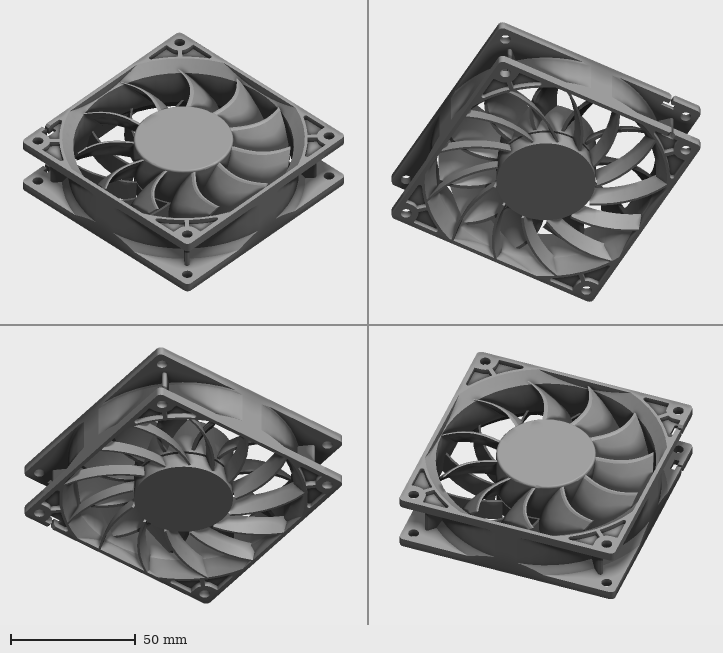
import cadquery as cq
import math

side = 92.0
height = 25.2
half = side / 2
frame_corner_radius = 2.0

flange_thickness = 3.9
bore_radius = 44.2
mouth_radius = 48.6
mouth_depth = 3.9
outlet_radius = mouth_radius
outlet_depth = 6.1
mouth_half_width = 44.3
patch_half_width = 4.8
duct_radius = math.hypot(half, patch_half_width)
lower_cone_radius = 48.8
lower_cone_top = 7.0
upper_cone_radius = 46.7
upper_cone_height = 0.7

hole_position = 41.2
hole_diameter = 4.3
corner_rib_radius = 1.0
corner_rib_end = 36.9
pocket_depth = 2.3
pocket_wall = 44.0
pocket_inner_radius = 49.7
pocket_hole_radius = 4.9
pocket_web_half_width = 0.8
pocket_tip_fillet = 0.9

slot_inner_x = -41.95
slot_low_y = -35.1
slot_high_y = -29.6
slit_y = -32.5
slit_half_width = 0.55
slit_chamfer = 0.9
clearance_x = -37.9
clearance_y = -27.4

hub_radius = 20.0
hub_bottom = 7.9
hub_fillet = 0.9
blade_count = 11
blade_tip_radius = 43.1
blade_top = height - hub_fillet
blade_bottom = 8.9
blade_thickness = 1.6
blade_land = 0.7
blade_bevel_depth = 0.5
blade_camber = -0.9
blade_sections = [
    (16.6, -3.3, 5.5),
    (20.2, -2.85, 7.2),
    (25.8, -2.6, 8.6),
    (31.3, -3.3, 8.7),
    (36.8, -5.9, 7.7),
    (44.2, -12.9, 3.7),
]

base_radius = 19.8
vane_count = 13
vane_height = 7.0
vane_thickness = 1.0
vane_lean = 2.5
vane_outer_angle = -9.5
vane_swing = 28.0
vane_bow = 3.3
vane_overlap = 0.5


def turned(body, angle):
    return body.rotate((0, 0, 0), (0, 0, 1), angle)


def disc(radius, bottom, top):
    return cq.Workplane("XY", origin=(0, 0, bottom)).circle(radius).extrude(top - bottom)


def full_turn(profile):
    return profile.revolve(360, (0, 0, 0), (0, 1, 0))


def square_plate(bottom, thickness):
    return (
        cq.Workplane("XY", origin=(0, 0, bottom))
        .rect(side, side)
        .extrude(thickness)
        .edges("|Z")
        .fillet(frame_corner_radius)
    )


def duct_outside():
    under_top_flange = height - flange_thickness
    profile = (
        cq.Workplane("XZ")
        .moveTo(0, flange_thickness)
        .lineTo(lower_cone_radius, flange_thickness)
        .lineTo(duct_radius, lower_cone_top)
        .lineTo(duct_radius, under_top_flange - upper_cone_height)
        .lineTo(upper_cone_radius, under_top_flange)
        .lineTo(0, under_top_flange)
        .close()
    )
    return full_turn(profile).intersect(square_plate(0, height))


def duct_bore():
    profile = (
        cq.Workplane("XZ")
        .lineTo(outlet_radius, 0)
        .lineTo(bore_radius, outlet_depth)
        .lineTo(bore_radius, height - mouth_depth)
        .lineTo(mouth_radius, height)
        .lineTo(0, height)
        .close()
    )
    trim = cq.Workplane("XY").rect(2 * mouth_half_width, 2 * mouth_half_width).extrude(height)
    return full_turn(profile).intersect(trim)


def corner_rib(angle):
    length = math.hypot(corner_rib_end, corner_rib_end)
    width = 2 * corner_rib_radius
    rib_height = height - 2 * flange_thickness
    web = cq.Workplane("XY").rect(length, width).extrude(rib_height).translate((length / 2, 0, 0))
    tip = cq.Workplane("XY").center(length, 0).circle(corner_rib_radius).extrude(rib_height)
    return turned(web.union(tip).translate((0, 0, flange_thickness)), angle)


def corner_pocket():
    """Top pocket of the +X +Y corner that lies on the +X side of the corner's diagonal."""
    floor = height - pocket_depth
    near_wall = hole_position - pocket_hole_radius
    block = (
        cq.Workplane("XY", origin=(0, 0, floor))
        .lineTo(pocket_wall, 0)
        .lineTo(pocket_wall, near_wall)
        .lineTo(hole_position, near_wall)
        .lineTo(hole_position, hole_position)
        .close()
        .extrude(pocket_depth)
    )
    web = (
        cq.Workplane("XY", origin=(0, 0, floor))
        .rect(2 * side, 2 * pocket_web_half_width)
        .extrude(pocket_depth)
    )
    boss = disc(pocket_hole_radius, floor, height).translate((hole_position, hole_position, 0))
    pocket = block.cut(turned(web, 45)).cut(disc(pocket_inner_radius, floor, height)).cut(boss)
    return pocket.edges(">X and |Z").edges("<Y").fillet(pocket_tip_fillet)


def all_pockets():
    """The same pair of pockets in every corner of both flanges."""
    first = corner_pocket()
    second = turned(first.mirror("XZ"), 90)
    pockets = []
    for quarter in range(4):
        for pocket in (first, second):
            upper = turned(pocket, 90 * quarter)
            lower = upper.mirror("XY", (0, 0, height / 2))
            pockets += [upper, lower]
    return pockets


def screw_holes():
    return (
        cq.Workplane("XY")
        .rect(2 * hole_position, 2 * hole_position, forConstruction=True)
        .vertices()
        .circle(hole_diameter / 2)
        .extrude(height)
    )


def cable_slot():
    wide = cq.Workplane("XY").box(
        pocket_wall + slot_inner_x, slot_high_y - slot_low_y, height, centered=False
    ).translate((-pocket_wall, slot_low_y, 0))
    outer, mouth = slit_half_width, slit_half_width + slit_chamfer
    slit = (
        cq.Workplane("YZ", origin=(-half, slit_y, 0))
        .moveTo(-mouth, 0)
        .lineTo(mouth, 0)
        .lineTo(outer, slit_chamfer)
        .lineTo(outer, height - slit_chamfer)
        .lineTo(mouth, height)
        .lineTo(-mouth, height)
        .lineTo(-outer, height - slit_chamfer)
        .lineTo(-outer, slit_chamfer)
        .close()
        .extrude(half - pocket_wall)
    )
    return wide.union(slit)


def cone_clearance():
    """Square corner that trims the lower cone flush with the flange beside the cable slot."""
    return cq.Workplane("XY").box(
        half + clearance_x, half + clearance_y, lower_cone_top - flange_thickness, centered=False
    ).translate((-half, -half, flange_thickness))


def vane_section(bottom, lean):
    """Plan outline of one vane, an arc-shaped strip that reaches from the base to the duct."""
    start_radius = base_radius - vane_overlap
    start_x = start_radius * math.cos(math.radians(vane_swing))
    start_y = start_radius * math.sin(math.radians(vane_swing))
    end_x = outlet_radius
    middle_x = (start_x + end_x) / 2
    middle_y = start_y / 2 + vane_bow
    return (
        cq.Workplane("XY", origin=(0, lean, bottom))
        .moveTo(start_x, start_y)
        .threePointArc((middle_x, middle_y), (end_x, 0))
        .lineTo(end_x, vane_thickness)
        .threePointArc((middle_x, middle_y + vane_thickness), (start_x, start_y + vane_thickness))
        .close()
        .val()
    )


def stator_vane(angle):
    sections = [vane_section(0, vane_lean), vane_section(vane_height, 0)]
    vane = cq.Workplane(cq.Solid.makeLoft(sections, True))
    return turned(vane, angle)


def stator():
    """Motor base with its vanes, trimmed to the inside of the duct."""
    body = disc(base_radius, 0, vane_height)
    for number in range(vane_count):
        body = body.union(stator_vane(vane_outer_angle + 360 / vane_count * number))
    return body.intersect(duct_bore())


def make_housing():
    body = square_plate(0, flange_thickness)
    body = body.union(square_plate(height - flange_thickness, flange_thickness))
    body = body.union(duct_outside())
    for quarter in range(4):
        body = body.union(corner_rib(45 + 90 * quarter))
    body = body.cut(cone_clearance())
    body = body.cut(duct_bore())
    for pocket in all_pockets():
        body = body.cut(pocket)
    body = body.cut(screw_holes()).cut(cable_slot())
    return body.union(stator())


def blade():
    wires = []
    middle = (blade_top + blade_bottom) / 2
    for distance, upper_x, lower_x in blade_sections:
        bow = (upper_x + lower_x) / 2 - blade_camber
        wires.append(
            cq.Workplane("XZ", origin=(0, distance, 0))
            .moveTo(upper_x, blade_top)
            .threePointArc((bow - blade_thickness / 2, middle), (lower_x - blade_thickness, blade_bottom))
            .lineTo(lower_x, blade_bottom)
            .threePointArc((bow + blade_thickness / 2, middle), (upper_x + blade_thickness, blade_top - blade_bevel_depth))
            .lineTo(upper_x + blade_land, blade_top)
            .close()
            .val()
        )
    return cq.Workplane(cq.Solid.makeLoft(wires)).intersect(disc(blade_tip_radius, 0, height))


def make_impeller():
    body = disc(hub_radius, hub_bottom, height).faces(">Z").edges().fillet(hub_fillet)
    first_blade = blade()
    for number in range(blade_count):
        body = body.union(turned(first_blade, 360 / blade_count * number))
    return body


housing = make_housing()
impeller = make_impeller()
result = cq.Compound.makeCompound([*housing.vals(), *impeller.vals()])